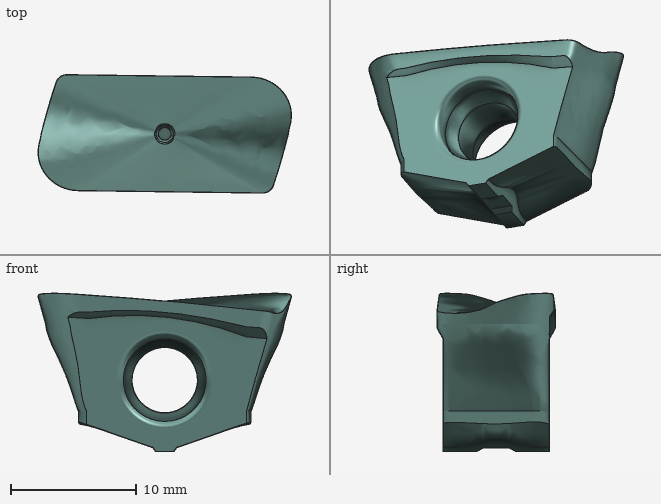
import cadquery as cq
import math


slab_half_width = 4.25
blank_top = 13.35
side_wall_y = 4.63
side_wall_slope = 0.013

nose_ref_y = 0.26
tail_ref_y = -3.99
tail_radius = 0.97
base_station = (3.24, 6.82, 6.68, 1.62)
rim_station = (10.15, 9.39, 8.54, 3.32)
top_station = (blank_top, 10.25, 9.18, 3.32)
bow_rate = 0.022
lower_stations = [
    base_station,
    (4.85, 7.32, 7.1, 1.75),
    (6.68, 8.0, 7.6, 2.43),
    (8.5, 8.85, 8.13, 3.07),
    rim_station,
]

apex_z = 11.37
rake_overrun = 1.4
rake_core = 0.04
edge_points = [
    (7.87, -4.73, 11.23),
    (8.74, -3.99, 11.07),
    (9.16, -2.73, 11.05),
    (9.43, -1.82, 11.19),
    (9.67, -1.03, 11.43),
    (9.95, 0.0, 11.92),
    (10.12, 1.23, 12.32),
    (10.0, 1.95, 12.5),
    (9.45, 3.14, 12.62),
    (8.3, 4.17, 12.65),
    (6.75, 4.53, 12.56),
]
side_edge_middle = (0.0, -4.63, 12.04)

dimple_rim_radius = 0.8
dimple_neck_radius = 0.69
dimple_floor_radius = 0.5
dimple_depth = 0.28
dimple_rim_depth = 0.12

ledge_start = (-12.14, 11.03)
crown_start = (-6.07, 10.62)
crown_middle = (0.2, 10.72)
crown_end = (6.51, 9.16)
ledge_end = (12.14, 8.65)
ledge_reach = 1.21
end_rise = 1.7
crown_rise = 1.0

foot_half_width = 0.73
foot_flare = 0.73
seat_start_x = 0.95
seat_start_z = 0.3
seat_slope = 0.35
ridge_start_x = 1.55
ridge_start_z = 1.1
ridge_slope = 0.21
wave_outer_y = 3.75
wave_turn_y = 1.11
seat_end_x = 9.1
arch_height = 0.28
arch_foot_y = 1.58
arch_crown_y = 1.03

hole_z = 5.7
hole_radius = 2.6
cone_radius = 2.67
seat_radius = 3.15
bore_radius = 3.3
mouth_radius = 3.86
bore_end_y = 2.71
seat_y = 2.4
cone_end_y = 1.74
hole_start_y = 1.6

clearance = 4.05


def half_turn(shape):
    return shape.rotate((0, 0, 0), (0, 0, 1), 180)


def corner_arc(before, corner, after, radius):
    """Start, middle and end of the arc that rounds a corner."""
    back = (before - corner).normalized()
    ahead = (after - corner).normalized()
    half_angle = back.getAngle(ahead) / 2
    setback = radius / math.tan(half_angle)
    bisector = (back + ahead).normalized()
    middle = corner + bisector * (radius / math.sin(half_angle) - radius)
    return corner + back * setback, middle, corner + ahead * setback


def outline(station, z=None):
    """Skewed block outline with one large and one small corner per end."""
    station_z, nose_x, tail_x, nose_radius = station
    z = station_z if z is None else z
    lean = (nose_x - tail_x) / (nose_ref_y - tail_ref_y)
    base_x = nose_x - lean * nose_ref_y

    def corner(wall_y):
        y = (wall_y - side_wall_slope * base_x) / (1 + side_wall_slope * lean)
        return cq.Vector(base_x + lean * y, y, z)

    tail = corner(-side_wall_y)
    nose = corner(side_wall_y)
    far_tail = cq.Vector(-tail.x, -tail.y, z)
    far_nose = cq.Vector(-nose.x, -nose.y, z)
    arcs = [
        corner_arc(far_nose, tail, nose, tail_radius),
        corner_arc(tail, nose, far_tail, nose_radius),
        corner_arc(nose, far_tail, far_nose, tail_radius),
        corner_arc(far_tail, far_nose, tail, nose_radius),
    ]
    bow = cq.Vector(bow_rate * (z - base_station[0]), 0, 0)
    edges = []
    for index, arc in enumerate(arcs):
        edges.append(cq.Edge.makeThreePointArc(*arc))
        start = arc[2]
        end = arcs[(index + 1) % len(arcs)][0]
        is_bowed_end = index % 2 == 0 and z > base_station[0]
        if is_bowed_end:
            outward = bow if start.x > 0 else -bow
            middle = (start + end) / 2 + outward
            edges.append(cq.Edge.makeThreePointArc(start, middle, end))
        else:
            edges.append(cq.Edge.makeLine(start, end))
    return cq.Wire.assembleEdges(edges)


def make_blank():
    """Straight base, curved flanks, then drafted flanks up to the blank top."""
    base = cq.Solid.makeLoft([outline(base_station, 0.0), outline(base_station)], True)
    flanks = cq.Solid.makeLoft([outline(station) for station in lower_stations])
    crown = cq.Solid.makeLoft([outline(rim_station), outline(top_station)], True)
    return cq.Workplane(base).union(cq.Workplane(flanks)).union(cq.Workplane(crown))


def rake_loop(place):
    """Closed loop through the cutting edge points, each moved by the place function."""
    near_end = [place(x, y, z) for x, y, z in edge_points]
    far_end = [place(-x, -y, z) for x, y, z in edge_points]
    x, y, z = side_edge_middle
    near_side = [far_end[-1], place(x, y, z), near_end[0]]
    far_side = [near_end[-1], place(-x, -y, z), far_end[0]]
    runs = (near_end, far_side, far_end, near_side)
    return cq.Wire.assembleEdges([cq.Edge.makeSpline(run) for run in runs])


def rake_cutter():
    """Everything above the ruled rake face."""
    def on_core(x, y, z):
        return cq.Vector(x * rake_core, y * rake_core, apex_z)

    def on_rim(x, y, z):
        rise = (z - apex_z) * rake_overrun
        return cq.Vector(x * rake_overrun, y * rake_overrun, apex_z + rise)

    def on_lid(x, y, z):
        return cq.Vector(x * rake_overrun, y * rake_overrun, blank_top + clearance)

    loops = [rake_loop(place) for place in (on_core, on_rim, on_lid)]
    return cq.Workplane(cq.Solid.makeLoft(loops, True))


def dimple_cutter():
    neck_z = apex_z - dimple_rim_depth
    bulge = math.sqrt(0.5)
    rim_middle = (
        dimple_rim_radius - bulge * (dimple_rim_radius - dimple_neck_radius),
        neck_z + bulge * dimple_rim_depth,
    )
    return (
        cq.Workplane("XZ")
        .moveTo(0, apex_z - dimple_depth)
        .lineTo(dimple_floor_radius, apex_z - dimple_depth)
        .lineTo(dimple_neck_radius, neck_z)
        .threePointArc(rim_middle, (dimple_rim_radius, apex_z))
        .lineTo(dimple_rim_radius, apex_z + dimple_depth)
        .lineTo(0, apex_z + dimple_depth)
        .close()
        .revolve(360, (0, 0, 0), (0, 1, 0))
    )


def ledge_section(reach):
    """Section below the ledge, at a distance outside the -Y side face."""
    def raised(point, rise):
        return point[0], point[1] + rise * reach

    return (
        cq.Workplane("XZ", origin=(0, -slab_half_width - reach, 0))
        .moveTo(*raised(ledge_start, end_rise))
        .lineTo(*raised(crown_start, end_rise))
        .threePointArc(raised(crown_middle, crown_rise), raised(crown_end, end_rise))
        .lineTo(*raised(ledge_end, end_rise))
        .lineTo(ledge_end[0], -clearance)
        .lineTo(ledge_start[0], -clearance)
        .close()
        .wire()
        .val()
    )


def ledge_cutter():
    """Region outside the -Y side face and below its ledge; its top slopes up outwards."""
    sections = [ledge_section(0.0), ledge_section(ledge_reach)]
    return cq.Workplane(cq.Solid.makeLoft(sections, True))


def seat_section(x):
    """Section below a seat: flat margins and an S-shaped swell up to the middle."""
    edge_z = seat_start_z + seat_slope * (x - seat_start_x)
    middle_z = ridge_start_z + ridge_slope * (x - ridge_start_x)
    turn_z = edge_z + (middle_z - edge_z) * (1 - wave_turn_y / wave_outer_y)
    outer_y = slab_half_width + clearance
    return (
        cq.Workplane("YZ", origin=(x, 0, 0))
        .moveTo(-outer_y, edge_z)
        .lineTo(-wave_outer_y, edge_z)
        .tangentArcPoint((-wave_turn_y, turn_z), relative=False)
        .tangentArcPoint((0, middle_z), relative=False)
        .tangentArcPoint((wave_turn_y, turn_z), relative=False)
        .tangentArcPoint((wave_outer_y, edge_z), relative=False)
        .lineTo(outer_y, edge_z)
        .lineTo(outer_y, -clearance)
        .lineTo(-outer_y, -clearance)
        .close()
        .wire()
        .val()
    )


def seat_cutter():
    """Space below the +X seat, leaving the flared foot standing."""
    below = cq.Workplane(cq.Solid.makeLoft([seat_section(0.0), seat_section(seat_end_x)], True))
    foot_top = foot_half_width + foot_flare * clearance
    foot = (
        cq.Workplane("XZ")
        .polyline([
            (-foot_half_width, 0),
            (foot_half_width, 0),
            (foot_top, clearance),
            (-foot_top, clearance),
        ])
        .close()
        .extrude(slab_half_width + clearance, both=True)
    )
    return below.cut(foot)


def arch_cutter():
    """Shallow passage across the foot."""
    return (
        cq.Workplane("YZ")
        .polyline([
            (-arch_foot_y, 0),
            (-arch_crown_y, arch_height),
            (arch_crown_y, arch_height),
            (arch_foot_y, 0),
        ])
        .close()
        .extrude(ridge_start_x, both=True)
    )


def hole_cutter():
    """Through hole with a stepped, round-mouthed screw seat on both sides."""
    mouth_round = mouth_radius - bore_radius
    bore_start_y = slab_half_width - mouth_round
    bulge = math.sqrt(0.5) * mouth_round
    half = (
        cq.Workplane("XY", origin=(0, 0, hole_z))
        .moveTo(0, 0)
        .lineTo(hole_radius, 0)
        .lineTo(hole_radius, hole_start_y)
        .lineTo(cone_radius, cone_end_y)
        .lineTo(seat_radius, seat_y)
        .lineTo(bore_radius, bore_end_y)
        .lineTo(bore_radius, bore_start_y)
        .threePointArc(
            (mouth_radius - bulge, bore_start_y + bulge),
            (mouth_radius, slab_half_width),
        )
        .lineTo(0, slab_half_width)
        .close()
        .revolve(360, (0, 0, 0), (0, 1, 0))
    )
    return half.union(half_turn(half))


result = make_blank()
for cutter in (ledge_cutter(), seat_cutter()):
    result = result.cut(cutter).cut(half_turn(cutter))
for cutter in (rake_cutter(), dimple_cutter(), arch_cutter(), hole_cutter()):
    result = result.cut(cutter)